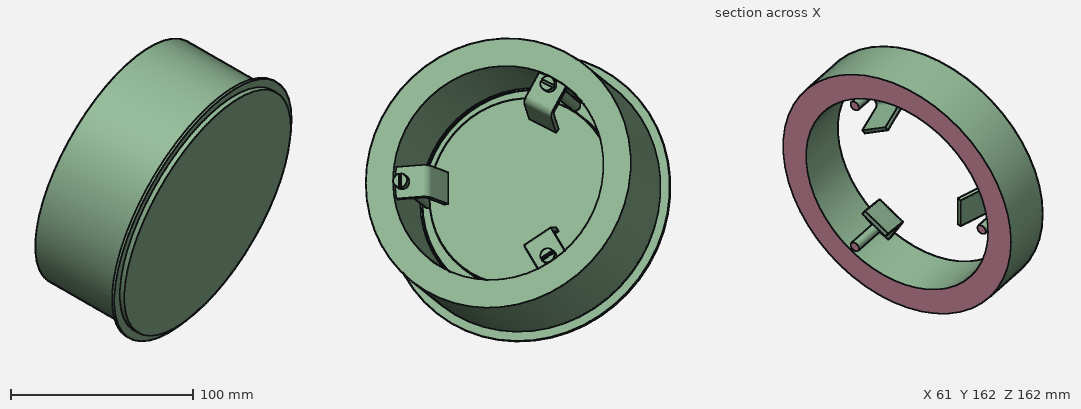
import cadquery as cq
import math

total_depth = 61.0
body_diameter = 152.0
bore_diameter = 120.7
floor_x = 52.2
seat_diameter = 118.7
seat_height = 1.3
rim_diameter = 162.0
rim_start = 56.4
rim_thickness = 1.6
neck_diameter = 150.5
neck_width = 0.6
plug_diameter = 105.6
plug_face_x = 43.1
plug_chamfer = 0.3

screw_count = 3
screw_radius = 56.2
shank_diameter = 5.8
head_diameter = 8.0
head_slot_width = 1.5
head_slot_depth = 1.3

clip_front = 4.2
clip_width = 17.8
clip_thickness = 2.6
clip_bend_start = 45.2
clip_bend_radius = 4.5
clip_bend_angle = 74.0
clip_flap_length = 17.5


def disc(diameter, start, length):
    return cq.Workplane("YZ").workplane(offset=start).circle(diameter / 2).extrude(length)


def make_housing():
    housing = disc(body_diameter, 0, total_depth)
    housing = housing.union(disc(rim_diameter, rim_start, rim_thickness))
    neck_start = rim_start - neck_width
    relief = disc(rim_diameter, neck_start, neck_width).cut(disc(neck_diameter, neck_start, neck_width))
    housing = housing.cut(relief)
    housing = housing.cut(disc(bore_diameter, 0, floor_x - seat_height))
    housing = housing.cut(disc(seat_diameter, 0, floor_x))
    plug = disc(plug_diameter, plug_face_x, total_depth - plug_face_x)
    return housing.union(plug.faces("<X").chamfer(plug_chamfer))


def make_clip():
    """Clamp plate on the +Y side: a flat tab, a rounded bend and a flap leaning inward."""
    angle = math.radians(clip_bend_angle)
    inner_radius = clip_bend_radius - clip_thickness
    bend_x = clip_front + clip_bend_radius

    def on_bend(radius, turn):
        return (bend_x - radius * math.cos(turn), clip_bend_start - radius * math.sin(turn))

    def flap_end(radius):
        x, y = on_bend(radius, angle)
        return (x + clip_flap_length * math.sin(angle), y - clip_flap_length * math.cos(angle))

    profile = (
        cq.Workplane("XY")
        .workplane(offset=-clip_width / 2)
        .moveTo(clip_front, bore_diameter / 2)
        .lineTo(*on_bend(clip_bend_radius, 0))
        .threePointArc(on_bend(clip_bend_radius, angle / 2), on_bend(clip_bend_radius, angle))
        .lineTo(*flap_end(clip_bend_radius))
        .lineTo(*flap_end(inner_radius))
        .lineTo(*on_bend(inner_radius, angle))
        .threePointArc(on_bend(inner_radius, angle / 2), on_bend(inner_radius, 0))
        .lineTo(clip_front + clip_thickness, bore_diameter / 2)
        .close()
    )
    return profile.extrude(clip_width).intersect(disc(bore_diameter, 0, total_depth))


def make_screw():
    """Slotted screw on the +Y side, reaching from the mouth into the floor."""
    shank = disc(shank_diameter, clip_front, floor_x + seat_height - clip_front)
    head = disc(head_diameter, 0, clip_front)
    slot = cq.Workplane("XY").box(2 * head_slot_depth, head_slot_width, head_diameter)
    return shank.union(head.cut(slot)).translate((0, screw_radius, 0))


fastener = make_clip().union(make_screw())
result = make_housing()
for index in range(screw_count):
    result = result.union(fastener.rotate((0, 0, 0), (1, 0, 0), index * 360 / screw_count))